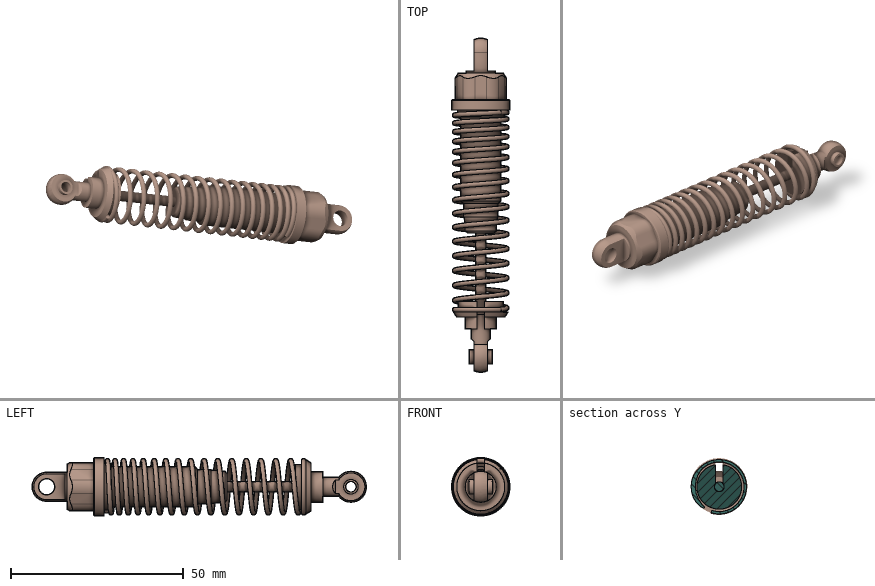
import cadquery as cq
import math


rod_eye_radius = 4.5
total_length = 96.91
damper_top = total_length - rod_eye_radius

lug_radius = 4.25
lug_width = 4.0
lug_hole_diameter = 4.6
lug_eye_y = damper_top - lug_radius
lug_base_y = 82.9
cap_top_y = 82.2
cap_across_flats = 14.0
cap_corner_radius = 4.0
cap_top_radius = 6.6
cap_bevel_angle = 30.0
collar_top_y = 74.6
collar_bottom_y = 71.5
collar_diameter = 16.95
collar_radius = collar_diameter / 2
collar_chamfer = 0.3
upper_boss_radius = 6.8
upper_boss_length = 2.0
tube_radius = 5.86
tube_cone_top_y = 45.2
tube_cone_bottom_y = 44.4
neck_radius = 5.0
neck_bottom_y = 40.6
gland_top_radius = 4.85
gland_bottom_radius = 4.5
nose_bottom_y = 35.9
nose_chamfer = 0.6

rod_radius = 1.5
rod_end_radius = 2.8
rod_end_top_y = 12.26
rod_eye_width = 4.0
rod_flat_taper_y = 4.5
rod_hub_diameter = 4.2
rod_hub_length = 6.7
rod_hub_hole_diameter = 3.0

seat_boss_top_y = 16.06
seat_boss_radius = 6.55
seat_face_y = 13.0
seat_rim_radius = 7.95
seat_cone_bottom_y = 11.5
seat_cone_bottom_radius = 6.95
seat_sleeve_radius = 4.5
seat_sleeve_bottom_y = 8.1
seat_slot_width = 2.1

wire_radius = 0.68
coil_outer_radius = 8.22
coil_radius = coil_outer_radius - wire_radius
helix_turns = 16
top_pitch = 2.03
bottom_pitch = 4.35
joint_angle = 43.0
top_flat_arc = 112.0
bottom_flat_arc = 245.0
points_per_turn = 12


def revolve_about_y(profile):
    """Turn a closed (radius, y) outline about the damper axis."""
    outline = [(y, radius) for radius, y in profile]
    return cq.Workplane("YZ").polyline(outline).close().revolve(360, (0, 0), (1, 0))


def cylinder(radius, y_low, y_high):
    return revolve_about_y([(0, y_low), (radius, y_low), (radius, y_high), (0, y_high)])


def slab(width, y_low, y_high, depth):
    """A block centred on the axis, `width` along X and `depth` along Z."""
    return cq.Workplane("XY").box(width, y_high - y_low, depth).translate((0, (y_low + y_high) / 2, 0))


def cross_cylinder(diameter, length, y):
    """A cylinder along X, centred on the axis."""
    return cq.Workplane("YZ").center(y, 0).circle(diameter / 2).extrude(length / 2, both=True)


def make_lug():
    """A ball-ended round bar, flattened on both sides and cross drilled."""
    bar = cylinder(lug_radius, cap_top_y, lug_eye_y)
    bar = bar.union(cq.Workplane("XY").sphere(lug_radius).translate((0, lug_eye_y, 0)))
    flattened = bar.intersect(slab(lug_width, cap_top_y, damper_top + lug_radius, 4 * lug_radius))
    base = cylinder(lug_radius, cap_top_y, lug_base_y)
    return flattened.union(base).cut(cross_cylinder(lug_hole_diameter, 2 * lug_width, lug_eye_y))


def make_cap():
    """A hexagonal cap with rounded corners and a turned bevel on top."""
    across_corners = cap_across_flats / math.cos(math.pi / 6)
    height = cap_top_y - collar_top_y
    hexagon = (
        cq.Workplane("XZ", origin=(0, cap_top_y, 0))
        .polygon(6, across_corners)
        .extrude(height)
        .edges("|Y")
        .fillet(cap_corner_radius)
    )
    bevel_width = across_corners / 2 - cap_top_radius
    bevel_height = bevel_width / math.tan(math.radians(cap_bevel_angle))
    envelope = revolve_about_y([
        (0, collar_top_y),
        (across_corners / 2, collar_top_y),
        (across_corners / 2, cap_top_y - bevel_height),
        (cap_top_radius, cap_top_y),
        (0, cap_top_y),
    ])
    return hexagon.intersect(envelope)


def make_housing():
    upper_boss_bottom_y = collar_bottom_y - upper_boss_length
    barrel = revolve_about_y([
        (0, collar_top_y),
        (collar_radius - collar_chamfer, collar_top_y),
        (collar_radius, collar_top_y - collar_chamfer),
        (collar_radius, collar_bottom_y),
        (upper_boss_radius, collar_bottom_y),
        (upper_boss_radius, upper_boss_bottom_y),
        (tube_radius, upper_boss_bottom_y),
        (tube_radius, tube_cone_top_y),
        (neck_radius, tube_cone_bottom_y),
        (neck_radius, neck_bottom_y),
        (gland_top_radius, neck_bottom_y),
        (gland_bottom_radius, nose_bottom_y + nose_chamfer),
        (gland_bottom_radius - nose_chamfer, nose_bottom_y),
        (0, nose_bottom_y),
    ])
    return barrel.union(make_cap()).union(make_lug())


def make_piston_rod():
    """The rod, ending on the housing nose, with a flattened ball eye at the other end."""
    shank = cylinder(rod_end_radius, 0, rod_end_top_y)
    ball = cq.Workplane("XY").sphere(rod_eye_radius)
    half_width = rod_eye_width / 2
    taper_end_y = rod_flat_taper_y + rod_eye_radius - half_width
    envelope = (
        cq.Workplane("XY")
        .polyline([
            (-half_width, -rod_eye_radius),
            (half_width, -rod_eye_radius),
            (half_width, rod_flat_taper_y),
            (rod_eye_radius, taper_end_y),
            (rod_eye_radius, rod_end_top_y),
            (-rod_eye_radius, rod_end_top_y),
            (-rod_eye_radius, taper_end_y),
            (-half_width, rod_flat_taper_y),
        ])
        .close()
        .extrude(rod_eye_radius, both=True)
    )
    rod_end = shank.union(ball).intersect(envelope)
    hub = cross_cylinder(rod_hub_diameter, rod_hub_length, 0)
    hub_hole = cross_cylinder(rod_hub_hole_diameter, rod_hub_length, 0)
    rod = cylinder(rod_radius, rod_end_top_y, nose_bottom_y)
    return rod_end.union(hub).cut(hub_hole).union(rod)


def make_spring_seat():
    """A slotted seat that slips sideways over the rod and rests on the rod end."""
    seat = revolve_about_y([
        (0, seat_sleeve_bottom_y),
        (seat_sleeve_radius, seat_sleeve_bottom_y),
        (seat_sleeve_radius, seat_cone_bottom_y),
        (seat_cone_bottom_radius, seat_cone_bottom_y),
        (seat_rim_radius, seat_face_y),
        (seat_boss_radius, seat_face_y),
        (seat_boss_radius, seat_boss_top_y),
        (0, seat_boss_top_y),
    ])
    slot = slab(seat_slot_width, seat_sleeve_bottom_y, seat_boss_top_y, seat_rim_radius)
    slot = slot.translate((0, 0, seat_rim_radius / 2))
    rod_bore = cylinder(rod_radius, seat_sleeve_bottom_y, seat_boss_top_y)
    rod_end_bore = cylinder(rod_end_radius, seat_sleeve_bottom_y, rod_end_top_y)
    return seat.cut(slot).cut(rod_bore).cut(rod_end_bore)


def coil_point(degrees, y):
    """A point on the coil, turning from +X toward +Z."""
    angle = math.radians(degrees)
    return cq.Vector(coil_radius * math.cos(angle), y, coil_radius * math.sin(angle))


def make_spring():
    """Flat end coils joined by a helix whose pitch grows smoothly toward the seat."""
    top_y = collar_bottom_y - wire_radius
    bottom_y = seat_face_y + wire_radius
    drop = top_y - bottom_y

    def helix_point(fraction):
        start_slope = top_pitch * helix_turns
        end_slope = bottom_pitch * helix_turns
        lowered = (
            drop * (3 * fraction**2 - 2 * fraction**3)
            + start_slope * (fraction - 2 * fraction**2 + fraction**3)
            + end_slope * (fraction**3 - fraction**2)
        )
        return coil_point(joint_angle + 360 * helix_turns * fraction, top_y - lowered)

    def flat_arc(start, end, y):
        return cq.Edge.makeThreePointArc(
            coil_point(start, y), coil_point((start + end) / 2, y), coil_point(end, y)
        )

    def wire_along(edge):
        start_plane = cq.Plane(edge.startPoint(), normal=edge.tangentAt(0))
        section = cq.Workplane(start_plane).circle(wire_radius)
        return section.sweep(cq.Workplane(cq.Wire.assembleEdges([edge])), isFrenet=True)

    steps = helix_turns * points_per_turn
    helix = cq.Edge.makeSpline([helix_point(i / steps) for i in range(steps + 1)])
    top_arc = flat_arc(joint_angle - top_flat_arc, joint_angle, top_y)
    bottom_arc = flat_arc(joint_angle, joint_angle + bottom_flat_arc, bottom_y)
    return wire_along(helix).union(wire_along(top_arc)).union(wire_along(bottom_arc))


housing = make_housing()
piston_rod = make_piston_rod()
spring_seat = make_spring_seat()
spring = make_spring()

result = cq.Compound.makeCompound([
    housing.val(),
    piston_rod.val(),
    spring_seat.val(),
    spring.val(),
])